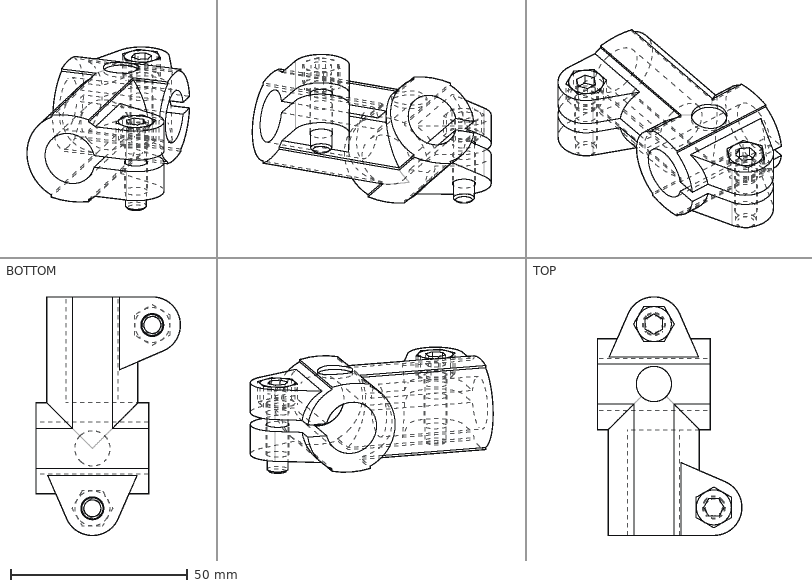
import cadquery as cq
import math

tube_radius = 13.0
bore_radius = 7.5
cross_half_length = 16.0
main_length = 43.0
main_bore_depth = 30.0

band_radius = 25.0
band_half_width = 5.65

ear_radius = 8.0
ear_half_height = 10.5
ear_half_base = 16.0
main_ear_tip_offset = 17.0
cross_ear_tip_offset = 16.75
slot_width = 3.5

screw_offset = 17.0
screw_diameter = 6.0
screw_hole_diameter = 6.5
screw_tip_z = -15.5
screw_tip_chamfer = 0.6
head_diameter = 9.9
head_height = 6.0
pocket_flats = 10.0
socket_flats = 5.0
socket_depth = 3.0
socket_turn = 30.0

recess_diameter = 10.0
recess_floor_z = 11.75

main_end_y = -main_length
main_bore_end_y = main_end_y + main_bore_depth
main_screw_y = main_end_y + ear_radius
band_edge_z = tube_radius - band_radius + math.sqrt(band_radius**2 - band_half_width**2)


def tube(plane, length):
    """Solid tube grown from a plane whose local Y axis is Z: round, with its two raised bands."""
    round_body = plane.circle(tube_radius).extrude(length)
    bands = (
        plane.moveTo(-band_half_width, -band_edge_z)
        .threePointArc((0, -tube_radius), (band_half_width, -band_edge_z))
        .lineTo(band_half_width, band_edge_z)
        .threePointArc((0, tube_radius), (-band_half_width, band_edge_z))
        .close()
        .extrude(length)
    )
    return round_body.union(bands)


def ear(tip_offset, straight_right_side):
    """Clamp ear toward +Y with a round tip centred tip_offset from the tube axis.

    The left flank runs tangent to the tip from a base corner on the X axis.
    The right flank mirrors it, or is straight and square to the base.
    """
    base_to_tip = math.hypot(ear_half_base, tip_offset)
    flank_angle = math.atan2(tip_offset, ear_half_base) + math.asin(ear_radius / base_to_tip)
    touch_x = ear_radius * math.sin(flank_angle)
    touch_y = tip_offset + ear_radius * math.cos(flank_angle)

    right_base = (ear_half_base, 0)
    right_touch = (touch_x, touch_y)
    if straight_right_side:
        right_base = (ear_radius, 0)
        right_touch = (ear_radius, tip_offset)

    return (
        cq.Workplane("XY", origin=(0, 0, -ear_half_height))
        .moveTo(-ear_half_base, 0)
        .lineTo(*right_base)
        .lineTo(*right_touch)
        .threePointArc((0, tip_offset + ear_radius), (-touch_x, touch_y))
        .close()
        .extrude(2 * ear_half_height)
    )


def hexagon(flats, top_z, depth):
    """Hexagonal prism below top_z at the screw axis, two of its flats square to Y."""
    corner_diameter = flats / math.cos(math.pi / 6)
    return (
        cq.Workplane("XY", origin=(0, screw_offset, top_z))
        .polygon(6, corner_diameter)
        .extrude(-depth)
    )


def screw_clearance():
    """Hexagonal head pocket and the through hole below it."""
    hole = (
        cq.Workplane("XY", origin=(0, screw_offset, -ear_half_height))
        .circle(screw_hole_diameter / 2)
        .extrude(2 * ear_half_height)
    )
    return hole.union(hexagon(pocket_flats, ear_half_height, head_height))


def screw():
    """Socket-head screw, its head flush with the top of the ear."""
    shank = (
        cq.Workplane("XY", origin=(0, screw_offset, screw_tip_z))
        .circle(screw_diameter / 2)
        .extrude(ear_half_height - screw_tip_z)
        .faces("<Z")
        .chamfer(screw_tip_chamfer)
    )
    head = (
        cq.Workplane("XY", origin=(0, screw_offset, ear_half_height))
        .circle(head_diameter / 2)
        .extrude(-head_height)
    )
    screw_axis = ((0, screw_offset, 0), (0, screw_offset, 1))
    socket = hexagon(socket_flats, ear_half_height, socket_depth).rotate(*screw_axis, socket_turn)
    return shank.union(head).cut(socket)


def on_main_tube(shape):
    """Turn a shape made toward +Y so it points along +X near the free end of the main tube."""
    return shape.rotate((0, 0, 0), (0, 0, 1), -90).translate((0, main_screw_y, 0))


def cross_bore_and_slot():
    """Through bore of the cross tube and the slot that splits its ear."""
    bore = (
        cq.Workplane("YZ")
        .circle(bore_radius)
        .extrude(cross_half_length, both=True)
    )
    slot = cq.Workplane("XY").box(
        2 * cross_half_length,
        cross_ear_tip_offset + ear_radius,
        slot_width,
        centered=(True, False, True),
    )
    return bore.union(slot)


def main_bore_and_slot():
    """Blind bore of the main tube and the slot that splits its ear, equally deep."""
    bore = (
        cq.Workplane("XZ", origin=(0, main_bore_end_y, 0))
        .circle(bore_radius)
        .extrude(main_bore_depth)
    )
    slot = (
        cq.Workplane("XY")
        .box(
            main_ear_tip_offset + ear_radius,
            main_bore_depth,
            slot_width,
            centered=(False, False, True),
        )
        .translate((0, main_end_y, 0))
    )
    return bore.union(slot)


def crossing_recess():
    """Shallow flat-bottomed round recess above the tube crossing."""
    return (
        cq.Workplane("XY", origin=(0, 0, recess_floor_z))
        .circle(recess_diameter / 2)
        .extrude(tube_radius - recess_floor_z)
    )


main_tube = tube(cq.Workplane("XZ"), main_length)
cross_tube = tube(cq.Workplane("YZ", origin=(-cross_half_length, 0, 0)), 2 * cross_half_length)

body = cross_tube.union(main_tube)
body = body.union(ear(cross_ear_tip_offset, straight_right_side=False))
body = body.union(on_main_tube(ear(main_ear_tip_offset, straight_right_side=True)))
body = body.cut(cross_bore_and_slot()).cut(main_bore_and_slot()).cut(crossing_recess())

body = body.cut(screw_clearance()).cut(on_main_tube(screw_clearance()))
result = body.union(screw()).union(on_main_tube(screw()))